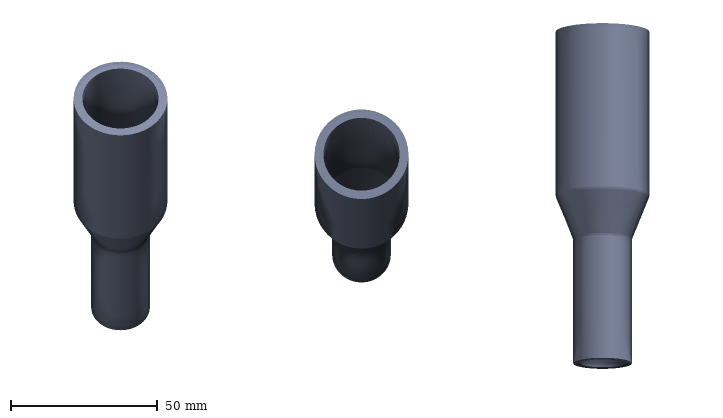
import cadquery as cq

length = 115.0
socket_radius = 16.0
socket_bore_radius = 13.0
spigot_radius = 10.0
spigot_bore_radius = 7.1
cone_bottom = 43.0
cone_top = 58.0
bend_radius = 2.0


def stepped_solid(small_radius, large_radius):
    """Solid of revolution about Z: small cylinder, cone, large cylinder, with rounded bends."""
    outline = [
        (0, 0),
        (small_radius, 0),
        (small_radius, cone_bottom),
        (large_radius, cone_top),
        (large_radius, length),
        (0, length),
    ]
    body = cq.Workplane("XZ").polyline(outline).close().revolve(360, (0, 0), (0, 1))
    bends = body.edges("%CIRCLE").edges("not(<Z or >Z)")
    return bends.fillet(bend_radius)


outer = stepped_solid(spigot_radius, socket_radius)
bore = stepped_solid(spigot_bore_radius, socket_bore_radius)
result = outer.cut(bore)